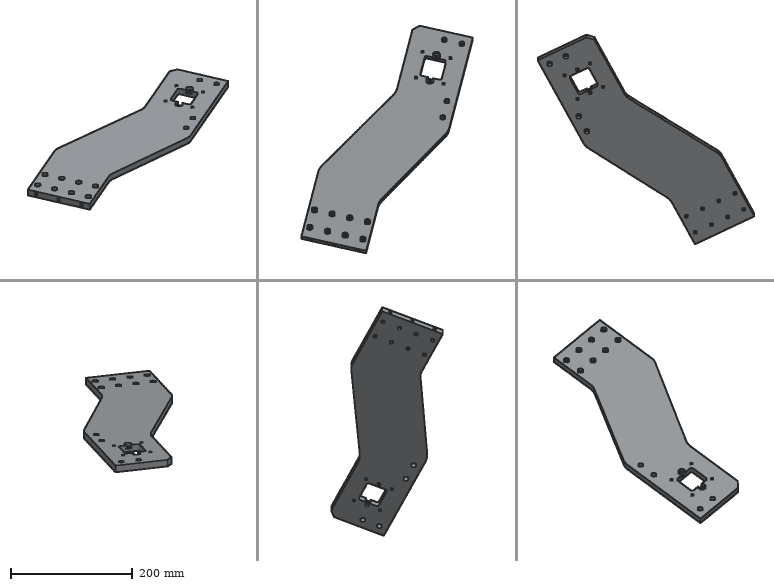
import cadquery as cq

length = 410.0
thickness = 12.0
foot_width = 110.0
head_width = 100.0
head_right = 191.5
head_left = head_right - head_width
head_chamfer = 10.0

bend_radius = 25.0
left_lower_bend_y = 124.0
left_upper_bend_y = 285.8
right_lower_bend_y = 89.8
right_upper_bend_y = 238.2

foot_hole_dia = 5.5
foot_bore_dia = 9.5
foot_bore_depth = 6.0
foot_pitch_x = 30.0
foot_pitch_y = 32.0
foot_columns = 4
foot_rows = 2
foot_first_row_y = 19.0

end_hole_dia = 5.0
end_hole_depth = 14.8
end_hole_pitch = 40.0
end_hole_count = 3

head_hole_dia = 8.0
head_hole_inset = 14.8
head_hole_pitch = 30.0
side_hole_drop = 119.7

window_size = 36.0
window_corner_radius = 3.3
window_inset_x = 51.0
window_inset_y = 67.5
window_x = head_right - window_inset_x
window_y = length - window_inset_y
corner_hole_dia = 4.0
corner_hole_pitch = 47.0
window_hole_dia = 5.5
window_bore_dia = 12.5
window_bore_depth = 6.0
window_bore_pitch = 46.0


def make_plate():
    right_bends = [(foot_width, right_lower_bend_y), (head_right, right_upper_bend_y)]
    left_bends = [(head_left, left_upper_bend_y), (0, left_lower_bend_y)]
    outline = [
        (0, 0),
        (foot_width, 0),
        *right_bends,
        (head_right, length),
        (head_left + head_chamfer, length),
        (head_left, length - head_chamfer),
        *left_bends,
    ]
    plate = cq.Workplane("XY").polyline(outline).close().extrude(thickness)
    for x, y in right_bends + left_bends:
        corner = cq.selectors.NearestToPointSelector((x, y, thickness / 2))
        plate = plate.edges("|Z").edges(corner).fillet(bend_radius)
    return plate


def drill(plate, points, diameter):
    cutter = cq.Workplane("XY").pushPoints(points).circle(diameter / 2).extrude(thickness)
    return plate.cut(cutter)


def counterbore(plate, points, hole_diameter, bore_diameter, bore_depth):
    floor = cq.Workplane("XY", origin=(0, 0, thickness - bore_depth))
    bores = floor.pushPoints(points).circle(bore_diameter / 2).extrude(bore_depth)
    return drill(plate, points, hole_diameter).cut(bores)


def drill_foot(plate):
    first_x = (foot_width - (foot_columns - 1) * foot_pitch_x) / 2
    points = [
        (first_x + column * foot_pitch_x, foot_first_row_y + row * foot_pitch_y)
        for column in range(foot_columns)
        for row in range(foot_rows)
    ]
    return counterbore(plate, points, foot_hole_dia, foot_bore_dia, foot_bore_depth)


def drill_end_face(plate):
    first_x = (foot_width - (end_hole_count - 1) * end_hole_pitch) / 2
    points = [(first_x + i * end_hole_pitch, thickness / 2) for i in range(end_hole_count)]
    holes = cq.Workplane("XZ").pushPoints(points).circle(end_hole_dia / 2).extrude(-end_hole_depth)
    return plate.cut(holes)


def drill_head(plate):
    x = head_right - head_hole_inset
    top_y = length - head_hole_inset
    side_y = length - side_hole_drop
    points = [
        (x, top_y),
        (x - head_hole_pitch, top_y),
        (x, side_y),
        (x, side_y - head_hole_pitch),
    ]
    return drill(plate, points, head_hole_dia)


def cut_window(plate):
    center = cq.Workplane("XY", origin=(window_x, window_y, 0))
    opening = center.rect(window_size, window_size).extrude(thickness)
    opening = opening.edges("|Z").fillet(window_corner_radius)
    half_pitch = corner_hole_pitch / 2
    corners = [
        (window_x + side_x * half_pitch, window_y + side_y * half_pitch)
        for side_x in (-1, 1)
        for side_y in (-1, 1)
    ]
    bores = [(window_x, window_y + side * window_bore_pitch / 2) for side in (-1, 1)]
    plate = drill(plate.cut(opening), corners, corner_hole_dia)
    return counterbore(plate, bores, window_hole_dia, window_bore_dia, window_bore_depth)


result = make_plate()
result = drill_foot(result)
result = drill_end_face(result)
result = drill_head(result)
result = cut_window(result)